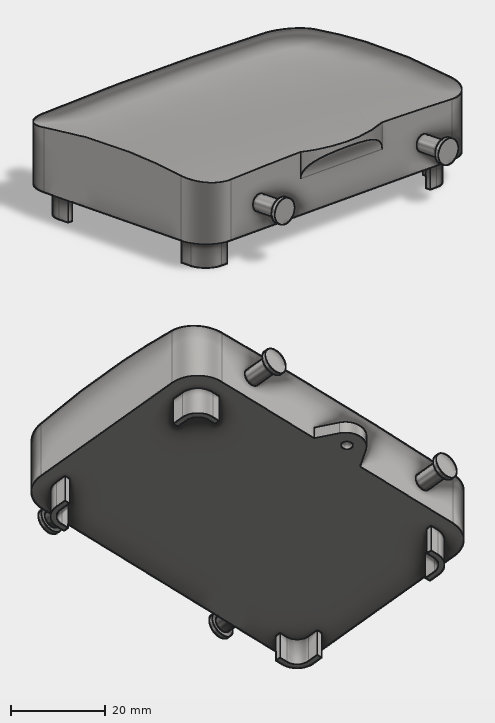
import cadquery as cq
import math

BODY_X = 56.0
BODY_Y = 82.0
CORNER_RADIUS = 7.5

PEAK_Z = 16.99
CROWN_RADIUS_X = 157.0
CROWN_RADIUS_Y = 1000.0
CROWN_MARGIN = 1.0
CROWN_FLOOR_DEPTH = 2.0

LIP_REACH = 2.1
LIP_WIDTH = 24.7
LIP_EDGE_Z = 12.9
LIP_FOOT_Z = 8.3
LIP_UNDERCUT_RADIUS = 6.0

PIN_SPAN_X = 71.0
PIN_Y = 24.8
PIN_Z = 6.3
PIN_DIAMETER = 4.0
HEAD_DIAMETER = 6.0
HEAD_THICKNESS = 1.0

LEG_HEIGHT = 7.0
LEG_INSET = 3.75
LEG_X = 7.35
LEG_Y = 6.5
LEG_CORNER_RADIUS = 4.6
LEG_WALL = 1.3

TAB_THICKNESS = 3.0
TAB_CENTER_X = -30.6
TAB_RADIUS = 4.5
TAB_FLANK_ANGLE = 30.0
TAB_HOLE_X = -31.1
TAB_HOLE_DIAMETER = 2.5


def crowned_space():
    """Space below the doubly curved crown, larger than the housing on every other side."""
    half_x = BODY_X / 2 + LIP_REACH + CROWN_MARGIN
    edge_z = PEAK_Z - CROWN_RADIUS_X + math.sqrt(CROWN_RADIUS_X**2 - half_x**2)
    floor_z = -CROWN_FLOOR_DEPTH
    swing = 2 * math.degrees(math.asin(BODY_Y / CROWN_RADIUS_Y))
    axis_z = PEAK_Z - CROWN_RADIUS_Y
    section = (
        cq.Workplane("XZ")
        .moveTo(-half_x, floor_z)
        .lineTo(-half_x, edge_z)
        .threePointArc((0, PEAK_Z), (half_x, edge_z))
        .lineTo(half_x, floor_z)
        .close()
    )
    space = section.revolve(swing, (0, axis_z), (1, axis_z))
    return space.rotate((0, 0, axis_z), (1, 0, axis_z), -swing / 2)


def body_block():
    block = cq.Workplane("XY").box(BODY_X, BODY_Y, PEAK_Z, centered=(True, True, False))
    return block.edges("|Z").fillet(CORNER_RADIUS)


def finger_lip():
    """Bulge in plan, undercut by a concave arc that runs into the wall."""
    wall_x = BODY_X / 2
    tip_x = wall_x + LIP_REACH
    inner_x = wall_x - LIP_REACH
    profile = (
        cq.Workplane("XZ")
        .moveTo(inner_x, PEAK_Z)
        .lineTo(tip_x, PEAK_Z)
        .lineTo(tip_x, LIP_EDGE_Z)
        .radiusArc((wall_x, LIP_FOOT_Z), -LIP_UNDERCUT_RADIUS)
        .lineTo(inner_x, LIP_FOOT_Z)
        .close()
        .extrude(LIP_WIDTH / 2, both=True)
    )
    plan = (
        cq.Workplane("XY")
        .moveTo(inner_x, -LIP_WIDTH / 2)
        .lineTo(wall_x, -LIP_WIDTH / 2)
        .threePointArc((tip_x, 0), (wall_x, LIP_WIDTH / 2))
        .lineTo(inner_x, LIP_WIDTH / 2)
        .close()
        .extrude(PEAK_Z)
    )
    return profile.intersect(plan)


def side_pin(side, y):
    """Headed pin standing out of the wall on one X side (side is +1 or -1)."""
    wall = cq.Workplane("YZ", origin=(side * BODY_X / 2, y, PIN_Z))
    end = cq.Workplane("YZ", origin=(side * PIN_SPAN_X / 2, y, PIN_Z))
    shank = wall.circle(PIN_DIAMETER / 2).extrude(side * (PIN_SPAN_X - BODY_X) / 2)
    head = end.circle(HEAD_DIAMETER / 2).extrude(-side * HEAD_THICKNESS)
    return shank.union(head)


def rounded_corner_block(corner_radius):
    """Block of the leg's size whose +X +Y vertical edge is rounded."""
    block = cq.Workplane("XY").rect(LEG_X, LEG_Y).extrude(-LEG_HEIGHT)
    return block.edges("|Z").edges(">X").edges(">Y").fillet(corner_radius)


def corner_leg(side_x, side_y):
    """L-shaped leg under the corner given by two signs."""
    center_x = side_x * (BODY_X / 2 - LEG_INSET - LEG_X / 2)
    center_y = side_y * (BODY_Y / 2 - LEG_INSET - LEG_Y / 2)
    hollow = rounded_corner_block(LEG_CORNER_RADIUS - LEG_WALL).translate((-LEG_WALL, -LEG_WALL, 0))
    leg = rounded_corner_block(LEG_CORNER_RADIUS).cut(hollow)
    if side_x < 0:
        leg = leg.mirror("YZ")
    if side_y < 0:
        leg = leg.mirror("XZ")
    return leg.translate((center_x, center_y, 0))


def eyelet_tab():
    """Rounded ear whose straight flanks spread from the nose to the wall."""
    flank = math.radians(TAB_FLANK_ANGLE)
    tangent_x = TAB_CENTER_X - TAB_RADIUS * math.sin(flank)
    tangent_y = TAB_RADIUS * math.cos(flank)
    wall_x = -BODY_X / 2
    root_y = tangent_y + (wall_x - tangent_x) * math.tan(flank)
    ear = (
        cq.Workplane("XY")
        .moveTo(wall_x, -root_y)
        .lineTo(tangent_x, -tangent_y)
        .threePointArc((TAB_CENTER_X - TAB_RADIUS, 0), (tangent_x, tangent_y))
        .lineTo(wall_x, root_y)
        .close()
        .extrude(TAB_THICKNESS)
    )
    eye = cq.Workplane("XY").center(TAB_HOLE_X, 0).circle(TAB_HOLE_DIAMETER / 2).extrude(TAB_THICKNESS)
    return ear.cut(eye)


result = body_block().union(finger_lip()).intersect(crowned_space())
result = result.union(eyelet_tab())
for side_x in (-1, 1):
    for side_y in (-1, 1):
        result = result.union(side_pin(side_x, side_y * PIN_Y))
        result = result.union(corner_leg(side_x, side_y))